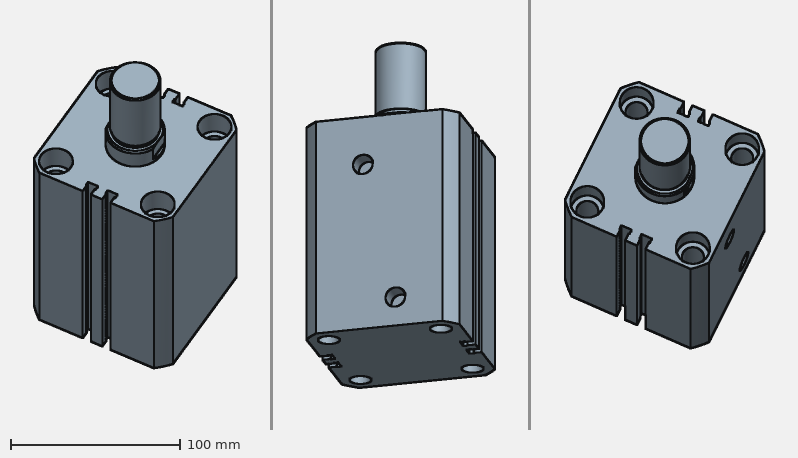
import cadquery as cq

TOTAL_HEIGHT = 192.0
BODY_WIDTH = 94.0
BODY_HEIGHT = 134.0
CORNER_CIRCLE_DIAMETER = 122.0

MOUNT_SPACING = 69.0
MOUNT_DIAMETER = 13.0
COUNTERBORE_DIAMETER = 20.0
COUNTERBORE_DEPTH = 16.0

SLOT_SPACING = 13.2
SLOT_MOUTH_WIDTH = 5.5
SLOT_INNER_WIDTH = 6.7
SLOT_LIP_DEPTH = 5.0
SLOT_DEPTH = 7.7

PORT_MOUTH_DIAMETER = 12.0
PORT_END_DIAMETER = 11.3
PORT_DEPTH = 11.5
PORT_OFFSET = 10.0
LOWER_PORT_HEIGHT = 18.0
UPPER_PORT_HEIGHT = 104.0

SHOULDER_DIAMETER = 35.1
SHOULDER_TOP = 147.0
SHOULDER_CHAMFER = 1.2
NECK_DIAMETER = 28.2
NECK_TOP = 150.0
THREAD_DIAMETER = 30.0
THREAD_CHAMFER = 1.0

FLATS_WIDTH = 32.0
FLATS_BOTTOM = 137.0


def make_body_blank():
    """Square bar with its four corners turned to the corner circle."""
    square = cq.Workplane("XY").rect(BODY_WIDTH, BODY_WIDTH).extrude(BODY_HEIGHT)
    corner_cylinder = cq.Workplane("XY").circle(CORNER_CIRCLE_DIAMETER / 2).extrude(BODY_HEIGHT)
    return square.intersect(corner_cylinder)


def drill_mounting_holes(body):
    """Four through holes, counterbored from the top."""
    return (
        body.faces(">Z").workplane(origin=(0, 0, BODY_HEIGHT))
        .rect(MOUNT_SPACING, MOUNT_SPACING, forConstruction=True)
        .vertices()
        .cboreHole(MOUNT_DIAMETER, COUNTERBORE_DIAMETER, COUNTERBORE_DEPTH)
    )


def make_sensor_slot(x, side):
    """Full-height T slot centred on x; side is -1 for the -Y face and +1 for the +Y face."""
    face = side * BODY_WIDTH / 2
    lip = side * (BODY_WIDTH / 2 - SLOT_LIP_DEPTH)
    floor = side * (BODY_WIDTH / 2 - SLOT_DEPTH)
    mouth_half = SLOT_MOUTH_WIDTH / 2
    inner_half = SLOT_INNER_WIDTH / 2
    return (
        cq.Workplane("XY")
        .polyline([
            (x - mouth_half, face),
            (x - mouth_half, lip),
            (x - inner_half, lip),
            (x - inner_half, floor),
            (x + inner_half, floor),
            (x + inner_half, lip),
            (x + mouth_half, lip),
            (x + mouth_half, face),
        ])
        .close()
        .extrude(BODY_HEIGHT)
    )


def make_port(y, z):
    """Blind hole in the -X face, narrowing toward its flat end."""
    port = cq.Solid.makeCone(
        PORT_MOUTH_DIAMETER / 2,
        PORT_END_DIAMETER / 2,
        PORT_DEPTH,
        pnt=cq.Vector(-BODY_WIDTH / 2, y, z),
        dir=cq.Vector(1, 0, 0),
    )
    return cq.Workplane(port)


def make_body():
    body = drill_mounting_holes(make_body_blank())
    for side in (-1, 1):
        for x in (-SLOT_SPACING / 2, SLOT_SPACING / 2):
            body = body.cut(make_sensor_slot(x, side))
    for y, z in ((PORT_OFFSET, UPPER_PORT_HEIGHT), (-PORT_OFFSET, LOWER_PORT_HEIGHT)):
        body = body.cut(make_port(y, z))
    return body


def make_wrench_flat(side):
    """Cutter for one flat; side is -1 or +1 along X. Its lower end slopes outward at 45 degrees."""
    flat = side * FLATS_WIDTH / 2
    outside = side * SHOULDER_DIAMETER / 2
    slope_drop = (SHOULDER_DIAMETER - FLATS_WIDTH) / 2
    return (
        cq.Workplane("XZ")
        .polyline([
            (flat, SHOULDER_TOP),
            (flat, FLATS_BOTTOM),
            (outside, FLATS_BOTTOM - slope_drop),
            (outside, SHOULDER_TOP),
        ])
        .close()
        .extrude(SHOULDER_DIAMETER / 2, both=True)
    )


def make_rod():
    """Turned rod standing on the top face of the body."""
    shoulder_radius = SHOULDER_DIAMETER / 2
    thread_radius = THREAD_DIAMETER / 2
    neck_radius = NECK_DIAMETER / 2
    rod = (
        cq.Workplane("XZ")
        .polyline([
            (0, BODY_HEIGHT),
            (shoulder_radius, BODY_HEIGHT),
            (shoulder_radius, SHOULDER_TOP - SHOULDER_CHAMFER),
            (shoulder_radius - SHOULDER_CHAMFER, SHOULDER_TOP),
            (neck_radius, SHOULDER_TOP),
            (neck_radius, NECK_TOP),
            (thread_radius, NECK_TOP),
            (thread_radius, TOTAL_HEIGHT - THREAD_CHAMFER),
            (thread_radius - THREAD_CHAMFER, TOTAL_HEIGHT),
            (0, TOTAL_HEIGHT),
        ])
        .close()
        .revolve(360, (0, 0), (0, 1))
    )
    for side in (-1, 1):
        rod = rod.cut(make_wrench_flat(side))
    return rod


body = make_body()
rod = make_rod()

result = cq.Compound.makeCompound([body.solids().val(), rod.solids().val()])